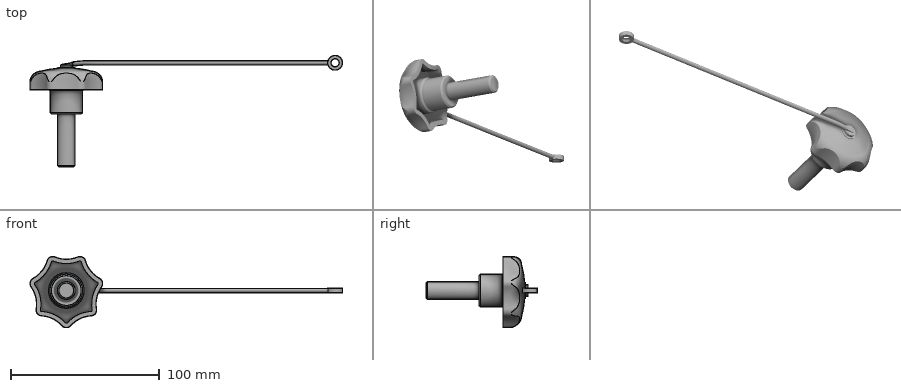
import cadquery as cq
import math


lobe_count = 7
head_radius = 25.0
lobe_tip_radius = 4.0
valley_radius = 20.0
rim_height = 5.0
shoulder_arc_radius = 8.6
shoulder_radius = 17.0
shoulder_height = 12.75
dome_height = 15.0
wall_thickness = 3.0
pocket_depth = 9.0

collar_diameter = 24.0
collar_length = 0.5
hub_diameter = 22.0
collar_chamfer = (collar_diameter - hub_diameter) / 2
hub_length = 16.2
hub_chamfer = 1.0
stud_diameter = 12.0
stud_reach = 51.7
stud_chamfer = 1.0

strap_diameter = 3.0
strap_offset = 18.3
strap_bend_x = 15.0
strap_tail_x = 4.2
strap_tail_y = 17.4
tail_length = 8.5
tail_width = 2.8
tail_thickness = 2.2
tail_overlap = 1.2

seat_diameter = 11.0
seat_height = 15.2
washer_diameter = 8.0
washer_height = 17.0

eyelet_outer_diameter = 10.0
eyelet_hole_diameter = 5.3
eyelet_height = 3.1
eyelet_x = 181.0

lobe_pitch = 2 * math.pi / lobe_count
half_pitch = lobe_pitch / 2
first_lobe_angle = -math.pi / 2


def polar(radius, angle):
    return (radius * math.cos(angle), radius * math.sin(angle))


def on_y(y):
    """Sketch plane at height y whose local axes are X and Z; extrusion goes towards -Y."""
    return cq.Workplane("XZ", origin=(0, y, 0))


def cylinder(diameter, y_from, y_to):
    return on_y(y_to).circle(diameter / 2).extrude(y_to - y_from)


def star_outline(plane, inset):
    """Closed lobed outline: convex tips and concave valleys that are tangent, offset inwards by inset."""
    lobe_center = head_radius - lobe_tip_radius
    along = lobe_center * math.cos(half_pitch)
    across = lobe_center * math.sin(half_pitch)
    reach = lobe_tip_radius + valley_radius
    valley_center = along + math.sqrt(reach**2 - across**2)
    valley_bottom = valley_center - valley_radius - inset
    grown_valley = valley_radius + inset
    tip_radius = lobe_tip_radius - inset

    tangent_along = valley_center - grown_valley * (valley_center - along) / reach
    tangent_across = grown_valley * across / reach
    tangent_radius = math.hypot(tangent_along, tangent_across)
    tangent_angle = math.atan2(tangent_across, tangent_along)

    valley_angle = first_lobe_angle + half_pitch
    outline = plane.moveTo(*polar(tangent_radius, valley_angle - tangent_angle))
    for _ in range(lobe_count):
        outline = outline.threePointArc(
            polar(valley_bottom, valley_angle),
            polar(tangent_radius, valley_angle + tangent_angle),
        )
        next_valley = valley_angle + lobe_pitch
        outline = outline.threePointArc(
            polar(lobe_center + tip_radius, valley_angle + half_pitch),
            polar(tangent_radius, next_valley - tangent_angle),
        )
        valley_angle = next_valley
    return outline.close()


def domed_blank():
    """Body of revolution with a straight rim, a rounded shoulder and a shallow dome."""
    rise = dome_height - shoulder_height
    dome_radius = (shoulder_radius**2 + rise**2) / (2 * rise)
    dome_mid_x = shoulder_radius / 2
    dome_mid_y = dome_height - dome_radius + math.sqrt(dome_radius**2 - dome_mid_x**2)
    return (
        cq.Workplane("XY")
        .lineTo(head_radius, 0)
        .lineTo(head_radius, rim_height)
        .radiusArc((shoulder_radius, shoulder_height), -shoulder_arc_radius)
        .threePointArc((dome_mid_x, dome_mid_y), (0, dome_height))
        .close()
        .revolve(360, (0, 0, 0), (0, 1, 0))
    )


def knob_head():
    prism = star_outline(on_y(dome_height), 0).extrude(dome_height)
    pocket = star_outline(on_y(pocket_depth), wall_thickness).extrude(pocket_depth)
    return domed_blank().intersect(prism).cut(pocket)


def hub_and_stud():
    collar = cylinder(collar_diameter, -collar_length, pocket_depth).faces("<Y").chamfer(collar_chamfer)
    hub = cylinder(hub_diameter, -hub_length, pocket_depth).faces("<Y").chamfer(hub_chamfer)
    stud = cylinder(stud_diameter, -stud_reach, 0).faces("<Y").chamfer(stud_chamfer)
    return collar.union(hub).union(stud)


def fixing():
    seat = cylinder(seat_diameter, shoulder_height, seat_height)
    washer = cylinder(washer_diameter, shoulder_height, washer_height)
    return seat.union(washer)


def strap():
    """Round cord from the middle of the eyelet wall to the end of the bend above the washer."""
    wall_middle_radius = (eyelet_outer_diameter + eyelet_hole_diameter) / 4
    outer_end_x = eyelet_x - wall_middle_radius
    path = (
        cq.Workplane("XY")
        .moveTo(outer_end_x, strap_offset)
        .lineTo(strap_bend_x, strap_offset)
        .tangentArcPoint((strap_tail_x, strap_tail_y), relative=False)
    )
    profile = cq.Workplane("YZ", origin=(outer_end_x, strap_offset, 0))
    return profile.circle(strap_diameter / 2).sweep(path)


def strap_tail():
    """Flat tongue with round ends, tilted to continue the slope at the end of the strap bend."""
    slope = 2 * math.atan2(strap_offset - strap_tail_y, strap_bend_x - strap_tail_x)
    tongue = on_y(tail_thickness / 2).slot2D(tail_length, tail_width).extrude(tail_thickness)
    tongue = tongue.translate((tail_overlap - tail_length / 2, 0, 0))
    tongue = tongue.rotate((0, 0, 0), (0, 0, 1), math.degrees(slope))
    return tongue.translate((strap_tail_x, strap_tail_y, 0))


def eyelet():
    base = cq.Workplane("XY", origin=(eyelet_x, strap_offset, -eyelet_height / 2))
    return base.circle(eyelet_outer_diameter / 2).circle(eyelet_hole_diameter / 2).extrude(eyelet_height)


result = (
    knob_head()
    .union(hub_and_stud())
    .union(fixing())
    .union(strap_tail())
    .union(strap())
    .union(eyelet())
)